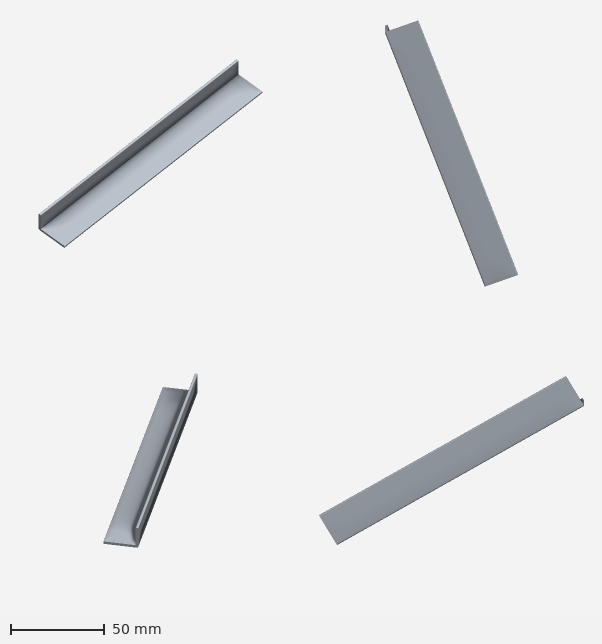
import cadquery as cq

base_leg = 19.05
upright_leg = 12.7
length = 152.4
thickness = 1.524
tip_radius = 0.4064
heel_radius = 2 * tip_radius


def angle_bar():
    """Sharp-edged L section, outer corner (heel) at the origin, running toward +Y."""
    section = (
        cq.Workplane("XZ")
        .moveTo(0, 0)
        .lineTo(base_leg, 0)
        .lineTo(base_leg, thickness)
        .lineTo(thickness, thickness)
        .lineTo(thickness, upright_leg)
        .lineTo(0, upright_leg)
        .close()
    )
    return section.extrude(-length)


def round_leg_tips(bar):
    """Round both lengthwise edges at the free end of each leg."""
    for tip_face in (">X", ">Z"):
        bar = bar.faces(tip_face).edges("|Y").fillet(tip_radius)
    return bar


def round_heel(bar):
    """Round the outer corner where the legs meet; the inner corner stays sharp."""
    return bar.faces("<X").edges("|Y and <Z").fillet(heel_radius)


result = round_heel(round_leg_tips(angle_bar()))